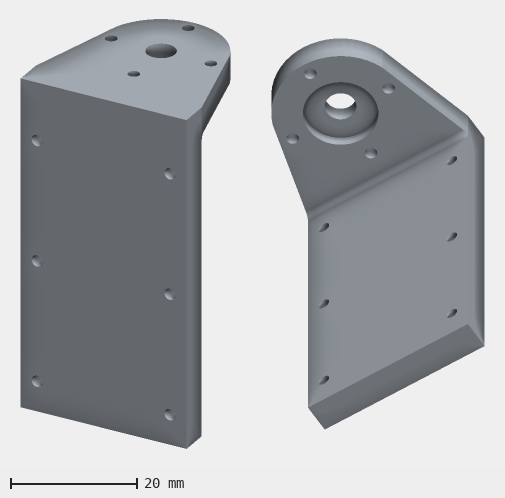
import cadquery as cq
import math

width = 30.0
depth = 30.0
height = 58.7
thickness = 5.0

nose_radius = 11.0
nose_center_y = depth - nose_radius
nose_end_y = 22.9

bore_diameter = 5.0
recess_diameter = 12.0
recess_depth = 2.0
screw_diameter = 2.0
screw_circle_radius = 9.0
screw_count = 4

plate_hole_spacing_x = 24.0
plate_hole_spacing_z = 21.5
plate_hole_rows = 3
plate_hole_span_z = (plate_hole_rows - 1) * plate_hole_spacing_z
plate_hole_bottom_z = (height - thickness - plate_hole_span_z) / 2

inner_fillet = 1.0


def make_plate():
    """Upright plate with its outer face on Y = 0."""
    return cq.Workplane("XY").box(width, thickness, height, centered=(True, False, False))


def make_shelf():
    """Tapered shelf with a rounded nose, flush with the top of the plate."""
    nose_end_x = math.sqrt(nose_radius**2 - (nose_end_y - nose_center_y) ** 2)
    return (
        cq.Workplane("XY", origin=(0, 0, height - thickness))
        .moveTo(-width / 2, 0)
        .lineTo(width / 2, 0)
        .lineTo(width / 2, thickness)
        .lineTo(nose_end_x, nose_end_y)
        .threePointArc((0, depth), (-nose_end_x, nose_end_y))
        .lineTo(-width / 2, thickness)
        .close()
        .extrude(thickness)
    )


def fillet_inner_corner(body):
    """Round the inner corner between plate and shelf."""
    corner = cq.selectors.NearestToPointSelector((0, thickness, height - thickness))
    return body.edges("|X").edges(corner).fillet(inner_fillet)


def cut_shelf_holes(body):
    """Central bore and the ring of screw holes through the shelf."""
    shelf_top = cq.Workplane("XY", origin=(0, nose_center_y, height))
    bore = shelf_top.circle(bore_diameter / 2).extrude(-thickness)
    screws = (
        shelf_top.polarArray(screw_circle_radius, 0, 360, screw_count)
        .circle(screw_diameter / 2)
        .extrude(-thickness)
    )
    return body.cut(bore).cut(screws)


def cut_underside_recess(body):
    """Round recess in the shelf underside, concentric with the bore."""
    recess = (
        cq.Workplane("XY", origin=(0, nose_center_y, height - thickness))
        .circle(recess_diameter / 2)
        .extrude(recess_depth)
    )
    return body.cut(recess)


def cut_plate_holes(body):
    """Two columns of screw holes through the plate."""
    for side in (-1, 1):
        for row in range(plate_hole_rows):
            x = side * plate_hole_spacing_x / 2
            z = plate_hole_bottom_z + row * plate_hole_spacing_z
            hole = (
                cq.Workplane("XZ", origin=(x, 0, z))
                .circle(screw_diameter / 2)
                .extrude(-thickness)
            )
            body = body.cut(hole)
    return body


bracket = make_plate().union(make_shelf())
bracket = fillet_inner_corner(bracket)
bracket = cut_shelf_holes(bracket)
bracket = cut_underside_recess(bracket)
result = cut_plate_holes(bracket)